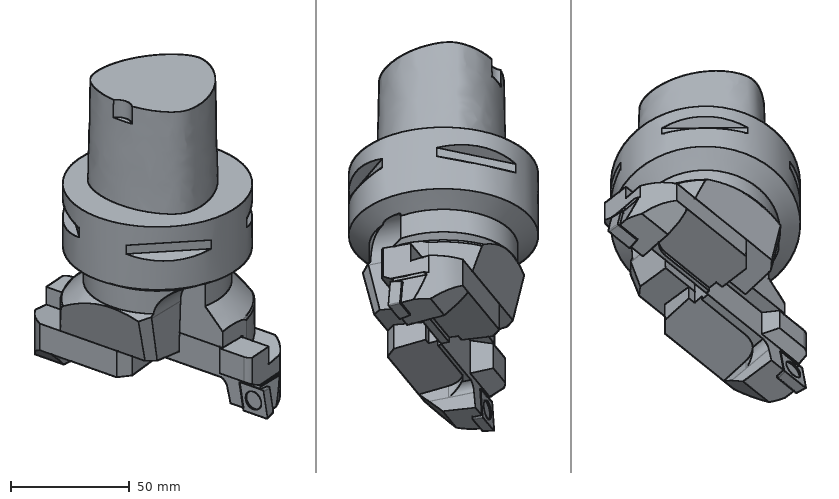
import cadquery as cq
import math


total_height = 142.0
flange_radius = 80.0 / 2
flange_top = 94.0
flange_cone_top = 64.2
flange_cone_bottom = 59.1
neck_radius = 31.4
shank_top_radius = 26.4
shank_base_radius = 27.4
lobe_rise = 2.1
shank_curve_points = 24

notch_radius = 6.7
notch_depth = 8.2
notch_wall_y = -21.9

groove_z = 82.1
groove_floor_distance = 35.6
groove_floor_height = 4.1
groove_mouth_height = 8.7
groove_count = 4

neck_bottom = 48.1
head_cone_radius = 40.5
head_cone_bottom = neck_bottom - (head_cone_radius - neck_radius)
head_radius = 41.0
head_edge_z = 37.8
flank_top_y = 31.8
flank_bottom_y = 26.1
seam_outer_z = 24.5
seam_inner_z = 22.2
slot_half_width = 7.0
slot_top = 31.2

pocket_bottom_x = 16.8
pocket_bend_x = 17.6
pocket_bend_z = 46.6
pocket_round_radius = 13.2
pocket_chamfer_x = 3.8
pocket_chamfer_y = 4.4

mating_y = 1.0
slide_inner_x = -3.0
key_inner_x = 0.4
slide_corner_chamfer = 4.7
key_top = 30.5
lobe_center_x = 27.0
lobe_radius = 30.4
slide_bottom = 11.8
side_bottom_z = 11.9
belly_y = 15.8
belly_z = 2.3
leg_bottom_z = 1.0

key_step_x = 32.2
key_ramp = 0.78
key_shelf_z = 14.6
key_shelf_slope = 0.51

key_round_start_x = 50.7
key_round_mid = (53.1, -6.4)
key_end_x = 54.4
key_end_y = -5.3
key_end_turn = math.radians(2.9)
clearance_top = 15.0
clearance_edge_x = 53.8
clearance_edge_z = 13.8
clearance_angle = math.radians(10)

leg_arc_start_x = 33.0
leg_arc_mid = (35.5, 10.0)
leg_inner_x = 36.4
leg_arc_end_z = 7.7
leg_inner_bottom_x = 38.2

recess_wall_y = 2.7
recess_corner_radius = 10.1
recess_inner_z = 14.0

insert_width = 12.9
insert_height = 12.9
insert_tip_x = 58.1
insert_lean = 2.3
insert_thickness = 5.0
insert_relief = 7.0
insert_nose_radius = 0.4
insert_proud = 0.4
insert_recess_diameter = 8.4
insert_recess_depth = 0.7

reach = 85.2


def extrude_z(sketch_plane, bottom, top):
    """Extrude a closed outline drawn on an XY plane between two heights."""
    return sketch_plane.extrude(top - bottom).translate((0, 0, bottom))


def extrude_y(sketch_plane, near, far):
    """Extrude a closed outline drawn in X and Z from Y = near to Y = far."""
    return sketch_plane.extrude(near - far).translate((0, near, 0))


def extrude_x(sketch_plane, near, far):
    """Extrude a closed outline drawn in Y and Z from X = near to X = far."""
    return sketch_plane.extrude(far - near).translate((near, 0, 0))


def half_turn(shape):
    return shape.rotate((0, 0, 0), (0, 0, 1), 180)


def shank_outline(mean_radius):
    """Points on a three-lobed polygon curve with one lobe on +Y."""
    points = []
    for index in range(shank_curve_points):
        angle = 2 * math.pi * index / shank_curve_points
        along_lobe = mean_radius * math.cos(angle)
        along_lobe += lobe_rise * (2 * math.cos(2 * angle) - math.cos(4 * angle))
        across_lobe = mean_radius * math.sin(angle)
        across_lobe -= lobe_rise * (2 * math.sin(2 * angle) + math.sin(4 * angle))
        points.append((-across_lobe, along_lobe))
    return points


def make_shank():
    base = cq.Workplane("XY", origin=(0, 0, flange_top))
    base = base.spline(shank_outline(shank_base_radius), periodic=True).close()
    top = base.workplane(offset=total_height - flange_top)
    shank = top.spline(shank_outline(shank_top_radius), periodic=True).close().loft(ruled=True)
    notch = cq.Workplane("XY").center(0, notch_wall_y - notch_radius).circle(notch_radius)
    return shank.cut(extrude_z(notch, total_height - notch_depth, total_height))


def make_turned_body():
    """Flange, neck and head as one revolved profile."""
    profile = [
        (0, seam_inner_z), (head_radius, seam_inner_z), (head_radius, head_edge_z),
        (head_cone_radius, head_cone_bottom), (neck_radius, neck_bottom),
        (neck_radius, flange_cone_bottom), (flange_radius, flange_cone_top),
        (flange_radius, flange_top), (0, flange_top),
    ]
    return cq.Workplane("XZ").polyline(profile).close().revolve(360, (0, 0, 0), (0, 1, 0))


def make_groove(index):
    """Flat-bottomed groove with flared sides across the flange."""
    floor = groove_floor_height / 2
    flare = (groove_mouth_height - groove_floor_height) / 2 / (flange_radius - groove_floor_distance)
    outer_x = 1.1 * flange_radius
    mouth = floor + flare * (outer_x - groove_floor_distance)
    outline = cq.Workplane("XZ").polyline([
        (groove_floor_distance, groove_z - floor), (outer_x, groove_z - mouth),
        (outer_x, groove_z + mouth), (groove_floor_distance, groove_z + floor),
    ]).close()
    groove = extrude_y(outline, -reach / 2, reach / 2)
    return groove.rotate((0, 0, 0), (0, 0, 1), 360 / groove_count * (index + 0.5))


def make_head_envelope():
    """Space below the neck that the head fills: end flats, sloped flanks, slot and sloped underside."""
    section = cq.Workplane("YZ").polyline([
        (slot_half_width, slot_top), (slot_half_width, seam_inner_z), (flank_bottom_y, seam_outer_z),
        (flank_top_y, neck_bottom), (-flank_top_y, neck_bottom), (-flank_bottom_y, seam_outer_z),
        (-slot_half_width, seam_inner_z), (-slot_half_width, slot_top),
    ]).close()
    return extrude_x(section, -flange_radius, flange_radius)


def make_pocket():
    """Chip pocket on the +X, -Y side with a rounded top."""
    round_x = pocket_bend_x + pocket_round_radius
    corner = pocket_round_radius * (1 - math.sqrt(0.5))
    pocket_top = pocket_bend_z + pocket_round_radius
    outline = (
        cq.Workplane("XZ").moveTo(pocket_bottom_x, seam_inner_z).lineTo(pocket_bend_x, pocket_bend_z)
        .threePointArc((pocket_bend_x + corner, pocket_top - corner), (round_x, pocket_top))
        .lineTo(reach, pocket_top).lineTo(reach, seam_inner_z).close()
    )
    return extrude_y(outline, -reach, -slot_half_width)


def make_pocket_chamfer():
    """Chamfer along the edge between the pocket floor and the sloped flank."""
    def corner(floor_x, flank_y):
        return [
            (floor_x - 2 * pocket_chamfer_x, -flank_y - pocket_chamfer_y),
            (floor_x + pocket_chamfer_x, -flank_y - pocket_chamfer_y),
            (floor_x + pocket_chamfer_x, -flank_y + 2 * pocket_chamfer_y),
        ]
    lower = cq.Workplane("XY", origin=(0, 0, seam_inner_z))
    lower = lower.polyline(corner(pocket_bottom_x, flank_bottom_y)).close()
    upper = lower.workplane(offset=neck_bottom - seam_inner_z)
    return upper.polyline(corner(pocket_bend_x, flank_top_y)).close().loft(ruled=True)


def make_head():
    turned = make_turned_body()
    block = cq.Workplane("XY").rect(2 * reach, 2 * reach)
    upper = turned.intersect(extrude_z(block, neck_bottom, total_height))
    head = upper.union(turned.intersect(make_head_envelope())).union(make_shank())
    for index in range(groove_count):
        head = head.cut(make_groove(index))
    for cutter in (make_pocket(), make_pocket_chamfer()):
        head = head.cut(cutter).cut(half_turn(cutter))
    return head


def make_slide_block(seat_y):
    """Cross-section of the slide, trimmed to its plan outline with the round outer lobe."""
    shelf_top = key_shelf_z + key_shelf_slope * (seat_y + slot_half_width)
    section = cq.Workplane("YZ").polyline([
        (seat_y, leg_bottom_z), (belly_y, belly_z), (flank_bottom_y, side_bottom_z),
        (flank_bottom_y, seam_outer_z), (slot_half_width, seam_inner_z), (slot_half_width, key_top),
        (-slot_half_width, key_top), (-slot_half_width, shelf_top), (seat_y, key_shelf_z),
    ]).close()
    lobe_side_x = lobe_center_x + math.sqrt(lobe_radius**2 - flank_bottom_y**2)
    lobe_end_x = lobe_center_x + lobe_radius
    diagonal = lobe_radius * math.sqrt(0.5)
    plan = (
        cq.Workplane("XY").moveTo(key_inner_x, -slot_half_width)
        .lineTo(key_inner_x, slot_half_width).lineTo(slide_inner_x, slot_half_width)
        .lineTo(slide_inner_x, flank_bottom_y - slide_corner_chamfer)
        .lineTo(slide_inner_x + slide_corner_chamfer, flank_bottom_y).lineTo(lobe_side_x, flank_bottom_y)
        .threePointArc((lobe_center_x + diagonal, diagonal), (lobe_end_x, 0))
        .lineTo(lobe_end_x, -slot_half_width).close()
    )
    return extrude_x(section, slide_inner_x, reach).intersect(extrude_z(plan, 0, key_top))


def make_key_step(seat_y):
    """Space beside the other slide, ending in a ramp out to the key face."""
    front_y = -2 * slot_half_width
    outline = cq.Workplane("XY").polyline([
        (-reach, front_y), (-reach, seat_y), (key_step_x, seat_y),
        (key_step_x + key_ramp * (seat_y - front_y), front_y),
    ]).close()
    return extrude_z(outline, 0, reach)


def make_key_end():
    """Space beyond the turned outer face and the rounded corner of the key."""
    face_y = flank_bottom_y - slide_corner_chamfer
    face_x = key_end_x - math.tan(key_end_turn) * (face_y - key_end_y)
    outline = (
        cq.Workplane("XY").moveTo(key_round_start_x, -slot_half_width)
        .threePointArc(key_round_mid, (key_end_x, key_end_y)).lineTo(face_x, face_y)
        .lineTo(reach, face_y).lineTo(reach, -slot_half_width).close()
    )
    return extrude_z(outline, clearance_top, reach)


def make_leg_clearance():
    """Space beyond the sloped outer face of the leg."""
    foot_x = clearance_edge_x + math.tan(clearance_angle) * clearance_edge_z
    outline = cq.Workplane("XZ").polyline([
        (foot_x, 0), (clearance_edge_x, clearance_edge_z), (key_end_x, clearance_top),
        (reach, clearance_top), (reach, 0),
    ]).close()
    return extrude_y(outline, -reach, reach)


def make_leg_gap():
    """Space under the slide on the inner side of the leg."""
    outline = (
        cq.Workplane("XZ").moveTo(-reach, slide_bottom).lineTo(leg_arc_start_x, slide_bottom)
        .threePointArc(leg_arc_mid, (leg_inner_x, leg_arc_end_z)).lineTo(leg_inner_bottom_x, 0)
        .lineTo(-reach, 0).close()
    )
    return extrude_y(outline, -reach, reach)


def make_underside_recess():
    """Recess in the slide underside with a sloped ceiling and a round corner at the leg."""
    ceiling = cq.Workplane("YZ").polyline([
        (recess_wall_y, leg_arc_end_z), (recess_wall_y, recess_inner_z),
        (flank_bottom_y, side_bottom_z), (flank_bottom_y, leg_arc_end_z),
    ]).close()
    recess = extrude_x(ceiling, slide_inner_x, leg_inner_x)
    return recess.edges("|Z and >X and <Y").fillet(recess_corner_radius)


def make_insert_blank(seat_y):
    """Leaning four-sided insert whose sides taper towards its back."""
    tip_inner_x = insert_tip_x - insert_width
    outline = cq.Workplane("XZ").polyline([
        (insert_tip_x, 0), (insert_tip_x - insert_lean, insert_height),
        (tip_inner_x - insert_lean, insert_height), (tip_inner_x, 0),
    ]).close()
    blank = outline.extrude(-insert_thickness, taper=insert_relief)
    blank = blank.edges("not(#Y)").fillet(insert_nose_radius)
    return blank.translate((0, seat_y - insert_proud, 0))


def make_insert(seat_y):
    center_x = insert_tip_x - (insert_width + insert_lean) / 2
    circle = cq.Workplane("XZ").center(center_x, insert_height / 2).circle(insert_recess_diameter / 2)
    front_y = seat_y - insert_proud
    return make_insert_blank(seat_y).cut(extrude_y(circle, front_y, front_y + insert_recess_depth))


def make_slide(seat_y):
    slide = make_slide_block(seat_y)
    cutters = (
        make_key_step(seat_y), make_key_end(), make_leg_clearance(),
        make_leg_gap(), make_underside_recess(), make_insert_blank(seat_y),
    )
    for cutter in cutters:
        slide = slide.cut(cutter)
    return slide


head = make_head()
slides = [make_slide(mating_y), half_turn(make_slide(-mating_y))]
inserts = [make_insert(mating_y), half_turn(make_insert(-mating_y))]

result = cq.Compound.makeCompound([head.val()] + [body.val() for body in slides + inserts])